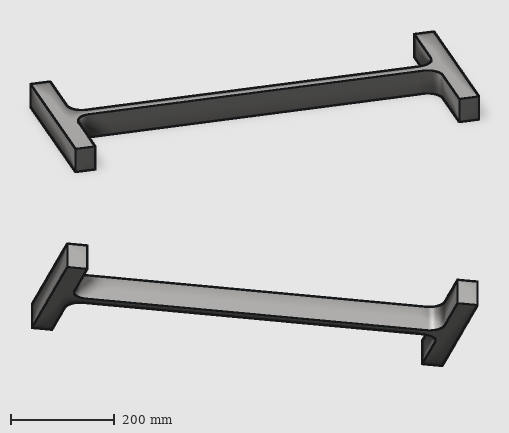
import cadquery as cq

depth = 814.0
flange_width = 303.0
length = 50.0
flange_thickness = 40.0
web_thickness = 21.0
root_radius = 30.0


def flange(side):
    """Flange at the +Y (side = 1) or -Y (side = -1) end of the web."""
    center_y = side * (depth - flange_thickness) / 2
    return (
        cq.Workplane("XY")
        .center(0, center_y)
        .rect(flange_width, flange_thickness)
        .extrude(length)
    )


web = cq.Workplane("XY").rect(web_thickness, depth).extrude(length)
section = web.union(flange(1)).union(flange(-1))

corner_x = web_thickness / 2
corner_y = depth / 2 - flange_thickness
corner_points = [
    (side_x * corner_x, side_y * corner_y, length / 2)
    for side_x in (-1, 1)
    for side_y in (-1, 1)
]
for point in corner_points:
    section = section.edges(cq.NearestToPointSelector(point)).fillet(root_radius)

result = section